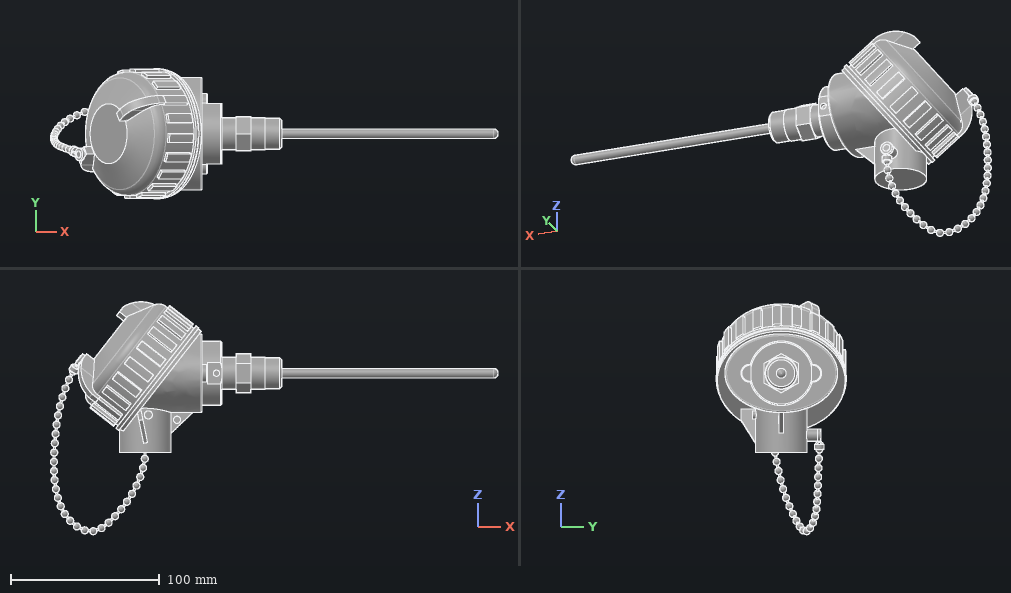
import cadquery as cq
import math


cap_elevation = 38.0
cap_axis_offset = 2.5
cap_sin = math.sin(math.radians(cap_elevation))
cap_cos = math.cos(math.radians(cap_elevation))
cap_normal = cq.Vector(-cap_cos, 0, cap_sin)
cap_up = cq.Vector(cap_sin, 0, cap_cos)
cap_plane = cq.Plane(origin=cap_up * cap_axis_offset, xDir=cap_up, normal=cap_normal)

lip_diameter = 87.8
lip_radius = lip_diameter / 2
barrel_radius = 41.5
lip_bottom = -9.5
lip_top = -7.2
barrel_top = 16.5
cone_base_radius = 37.7
cone_base_height = 23.5
face_radius = 20.2
face_height = 33.2
shoulder_bulge = (40.7, 20.5)
rib_count = 20
rib_radius = 43.7
rib_root_radius = 40.7
rib_bottom = -5.0
rib_top = 15.0

lug_angle = 32.0
lug_width = 6.0
lug_root_radius = 39.2
lug_inner_radius = 21.0
lug_bottom = 14.2
lug_top = 39.2
lug_bend_radius = 33.2
lug_bend = 1.0
lug_foot = 28.5
lug_crown = (37.7, 32.5)

stud_radius = 2.5
stud_place = 26.2
stud_bottom = 33.2
stud_top = 41.5

flange_radius = 43.0
flange_bottom = -12.5
shell_half_width = 38.0
shell_half_height = 26.5
shell_end = 38.3
shell_start = -36.2
shell_round = 1.2
spigot_radius = 17.5
spigot_bottom = -53.5
spigot_top = -15.0
cut_radius = 120.5
cut_depth = 120.5

web_thickness = 2.7
front_web_length = 14.5
front_web_bottom = -40.5
web_root_z = -18.0
side_web_reach = 27.0
side_web_corner = -31.7
side_web_bottom = -47.3
side_web_tilt = 11.5
side_web_place = -4.0
web_screw_radius = 2.5
web_screw_x = 21.5
web_screw_z = -31.5
web_screw_height = 0.5
boss_radius = 2.7
boss_x = 2.0
boss_z = -28.0
boss_reach = 19.3

pin_radius = 4.2
pin_z = -41.5
pin_shoulder = 24.5
pin_end = 26.8

collar_radius = 21.7
collar_end = 51.5
collar_chamfer = 1.0
flat_distance = 20.5
flat_start = 42.0
set_hole_radius = 2.0
set_hole_x = 48.0
set_hole_depth = 3.0

screw_radius = 6.0
screw_place = 21.0
screw_chamfer = 0.5

nipple_radius = 11.0
hex_start = 61.2
hex_end = 71.2
hex_flats = 23.0
nipple_shoulder = 80.5
thread_radius = 10.5
thread_end = 92.0
thread_chamfer = 1.5
probe_radius = 3.3
probe_tip_round = 3.0
probe_end = 237.5

bead_radius = 2.5
bead_count = 32
link_radius = 0.75
chain_points = [
    (-48.5, -11.5, 1.2),
    (-55.8, -9, -16.0),
    (-61.0, -5.0, -47.3),
    (-58.8, 3.3, -84.0),
    (-51.0, 10.0, -99.0),
    (-35.5, 17.0, -106.5),
    (-20.8, 22.5, -96.8),
    (-9.0, 24.5, -81.5),
    (-0.3, 25.3, -57.5),
    (0.0, 25.5, -51.3),
]

eye_radius = 4.2
eye_thickness = 2.0
cup_radius = 3.3
cup_height = 3.3
leg_radius = 0.5
leg_spread = 2.5


def in_cap_frame(work):
    return cq.Workplane(work.val().moved(cq.Location(cap_plane)))


def rod_along(start, end, radius):
    axis = end - start
    return cq.Workplane(cq.Solid.makeCylinder(radius, axis.Length, start, axis))


def x_cylinder(radius, start, end):
    return cq.Workplane("YZ", origin=(start, 0, 0)).circle(radius).extrude(end - start)


def make_lug(angle):
    profile = (
        cq.Workplane("XZ")
        .moveTo(lug_inner_radius, lug_foot)
        .lineTo(lug_inner_radius, lug_top)
        .lineTo(stud_place, lug_top)
        .threePointArc(lug_crown, (rib_radius, lug_bottom))
        .lineTo(lug_root_radius, lug_bottom)
        .close()
        .extrude(lug_width, both=True)
    )
    half = lug_width / 2
    plan = (
        cq.Workplane("XY", origin=(0, 0, lug_bottom))
        .polyline([
            (lug_inner_radius, -half),
            (lug_bend_radius, lug_bend - half),
            (rib_radius, -half),
            (rib_radius, half),
            (lug_bend_radius, lug_bend + half),
            (lug_inner_radius, half),
        ])
        .close()
        .extrude(lug_top - lug_bottom)
    )
    return profile.intersect(plan).rotate((0, 0, 0), (0, 0, 1), angle)


def make_cap():
    cap = (
        cq.Workplane("XZ")
        .moveTo(0, lip_bottom)
        .lineTo(lip_radius, lip_bottom)
        .lineTo(lip_radius, lip_top)
        .lineTo(barrel_radius, lip_top)
        .lineTo(barrel_radius, barrel_top)
        .threePointArc(shoulder_bulge, (cone_base_radius, cone_base_height))
        .lineTo(face_radius, face_height)
        .lineTo(0, face_height)
        .close()
        .revolve(360, (0, 0), (0, 1))
    )
    rib_blank = cq.Workplane("XY", origin=(0, 0, rib_bottom))
    bars = (
        rib_blank
        .polarArray(rib_radius, lug_angle, 360, rib_count)
        .rect(2 * (rib_radius - rib_root_radius), lug_width)
        .extrude(rib_top - rib_bottom)
    )
    rib_envelope = rib_blank.circle(rib_radius).extrude(rib_top - rib_bottom)
    cap = cap.union(bars.intersect(rib_envelope))
    cap = cap.union(make_lug(lug_angle)).union(make_lug(lug_angle + 180))
    stud = (
        cq.Workplane("XY", origin=(0, 0, stud_bottom))
        .polarArray(stud_place, lug_angle + 180, 360, 1)
        .circle(stud_radius)
        .extrude(stud_top - stud_bottom)
    )
    return in_cap_frame(cap.union(stud))


def make_housing():
    shell = (
        cq.Workplane("YZ", origin=(shell_start, 0, 0))
        .ellipse(shell_half_width, shell_half_height)
        .extrude(shell_end - shell_start)
        .faces(">X").edges().fillet(shell_round)
    )
    spigot = (
        cq.Workplane("XY", origin=(0, 0, spigot_bottom))
        .circle(spigot_radius)
        .extrude(spigot_top - spigot_bottom)
    )
    front_web_end = spigot_radius + front_web_length
    front_web = (
        cq.Workplane("XZ")
        .polyline([
            (0, web_root_z),
            (front_web_end, web_root_z),
            (front_web_end, -shell_half_height),
            (spigot_radius, front_web_bottom),
            (0, front_web_bottom),
        ])
        .close()
        .extrude(web_thickness / 2, both=True)
    )
    side_web = (
        cq.Workplane("YZ")
        .polyline([
            (0, web_root_z),
            (-side_web_reach, web_root_z),
            (-side_web_reach, side_web_corner),
            (-spigot_radius, side_web_bottom),
            (0, side_web_bottom),
        ])
        .close()
        .extrude(web_thickness / 2, both=True)
        .rotate((0, 0, -shell_half_height), (0, 1, -shell_half_height), -side_web_tilt)
        .translate((side_web_place, 0, 0))
    )
    boss = (
        cq.Workplane("XZ", origin=(boss_x, 0, boss_z)).circle(boss_radius).extrude(boss_reach)
    )
    web_screw = (
        cq.Workplane("XZ", origin=(web_screw_x, 0, web_screw_z))
        .circle(web_screw_radius)
        .extrude(web_thickness / 2 + web_screw_height)
    )
    body = shell.union(spigot).union(front_web).union(side_web).union(boss).union(web_screw)
    below_cap = in_cap_frame(
        cq.Workplane("XY", origin=(0, 0, lip_bottom)).circle(cut_radius).extrude(-cut_depth)
    )
    flange = in_cap_frame(
        cq.Workplane("XY", origin=(0, 0, flange_bottom))
        .circle(flange_radius)
        .extrude(lip_bottom - flange_bottom)
    )
    pin_base = cq.Vector(0, 0, pin_z)
    pin = rod_along(pin_base, cq.Vector(0, pin_shoulder, pin_z), pin_radius)
    neck = rod_along(pin_base, cq.Vector(0, pin_end, pin_z), stud_radius)
    return body.intersect(below_cap).union(flange).union(pin).union(neck)


def make_screws():
    return (
        cq.Workplane("YZ", origin=(shell_end, 0, 0))
        .pushPoints([(-screw_place, 0), (screw_place, 0)])
        .circle(screw_radius)
        .extrude(flat_start - shell_end)
        .faces(">X").edges().chamfer(screw_chamfer)
    )


def make_collar(screws):
    collar = x_cylinder(collar_radius, shell_end, collar_end)
    collar = collar.faces(">X").edges().chamfer(collar_chamfer)
    flat_length = collar_end - flat_start
    for side in (-1, 1):
        flat = cq.Workplane("XY").box(flat_length, collar_radius, 2 * collar_radius)
        flat_y = side * (flat_distance + collar_radius / 2)
        collar = collar.cut(flat.translate((flat_start + flat_length / 2, flat_y, 0)))
        hole_start = cq.Vector(set_hole_x, side * flat_distance, 0)
        hole_end = cq.Vector(set_hole_x, side * (flat_distance - set_hole_depth), 0)
        collar = collar.cut(rod_along(hole_start, hole_end, set_hole_radius))
    return collar.cut(screws)


def make_nipple():
    hexagon = (
        cq.Workplane("YZ", origin=(hex_start, 0, 0))
        .polygon(6, hex_flats, circumscribed=True)
        .extrude(hex_end - hex_start)
    )
    thread = x_cylinder(thread_radius, nipple_shoulder, thread_end)
    thread = thread.faces(">X").edges().chamfer(thread_chamfer)
    barrel = x_cylinder(nipple_radius, collar_end, nipple_shoulder)
    return barrel.union(hexagon).union(thread)


def make_probe():
    probe = x_cylinder(probe_radius, thread_end, probe_end)
    return probe.faces(">X").edges().fillet(probe_tip_round)


def chain_beads():
    path = cq.Edge.makeSpline([cq.Vector(*point) for point in chain_points])
    return [path.positionAt(step / (bead_count - 1)) for step in range(bead_count)]


def make_chain(beads):
    chain = cq.Workplane("XY").sphere(bead_radius).translate(beads[0])
    for last, bead in zip(beads, beads[1:]):
        chain = chain.union(rod_along(last, bead, link_radius))
        chain = chain.union(cq.Workplane("XY").sphere(bead_radius).translate(bead))
    return chain


def make_connector(eye_center, eye_axis, bead):
    pull = (bead - eye_center).normalized()
    half = eye_axis * (eye_thickness / 2)
    eye = rod_along(eye_center - half, eye_center + half, eye_radius)
    cup_top = bead - pull * cup_height
    connector = eye.union(rod_along(cup_top, bead, cup_radius))
    leg_start = eye_center + pull * (eye_radius - leg_radius / 2)
    for side in (-1, 1):
        leg_end = cup_top + eye_axis * (side * leg_spread)
        connector = connector.union(rod_along(leg_start, leg_end, leg_radius))
    socket = cq.Workplane("XY").sphere(bead_radius).translate(bead)
    bore = rod_along(eye_center - half, eye_center + half, stud_radius)
    return connector.cut(socket).cut(bore)


beads = chain_beads()
stud_angle = math.radians(lug_angle + 180)
upper_eye = cap_plane.toWorldCoords((
    stud_place * math.cos(stud_angle),
    stud_place * math.sin(stud_angle),
    lug_top + eye_thickness / 2,
))
lower_eye = cq.Vector(0, (pin_shoulder + pin_end) / 2, pin_z)

cap = make_cap()
housing = make_housing()
screws = make_screws()
collar = make_collar(screws)
nipple = make_nipple()
probe = make_probe()
chain = make_chain(beads)
upper_connector = make_connector(upper_eye, cap_normal, beads[0])
lower_connector = make_connector(lower_eye, cq.Vector(0, 1, 0), beads[-1])

result = cq.Compound.makeCompound([
    housing.val(),
    cap.val(),
    *screws.vals(),
    collar.val(),
    nipple.val(),
    probe.val(),
    chain.val(),
    upper_connector.val(),
    lower_connector.val(),
])